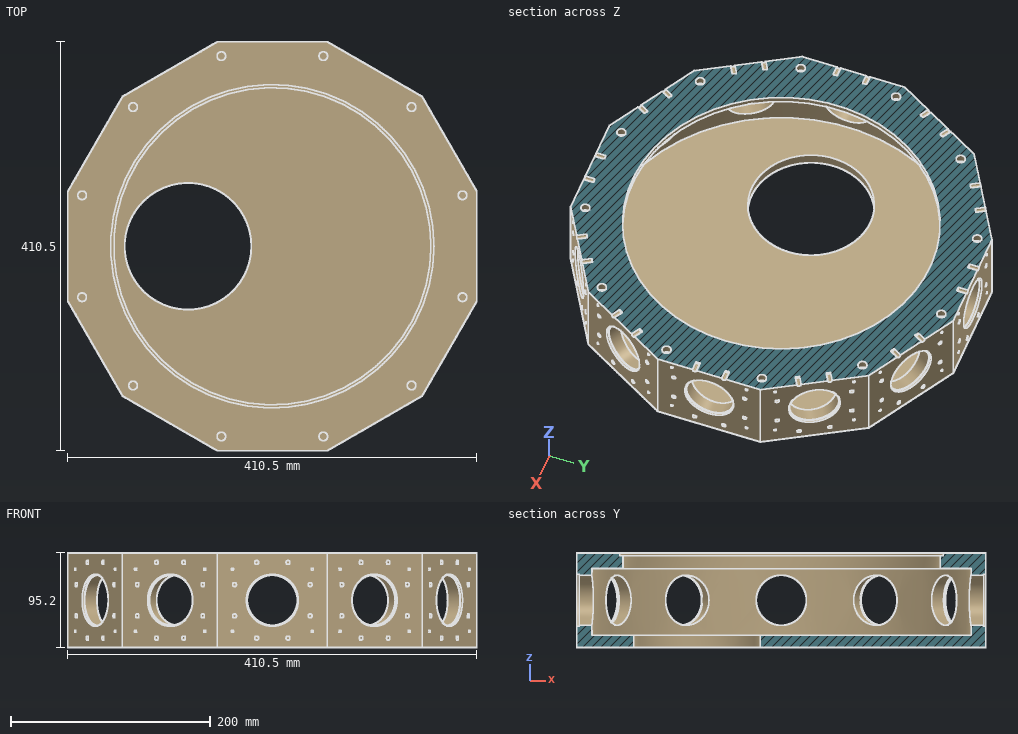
import cadquery as cq
import math

side_count = 12
side_angle = 360 / side_count
width_across_flats = 410.5
height = 95.2
circumscribed_diameter = width_across_flats / math.cos(math.radians(side_angle / 2))

floor_thickness = 12.7
lip_thickness = 16.0
cavity_diameter = 380.0
opening_diameter = 318.0
opening_recess_diameter = 324.5
opening_recess_depth = 3.0

floor_hole_diameter = 127.0
floor_hole_x = -84.5

corner_hole_diameter = 8.5
corner_hole_circle_radius = 197.5
corner_hole_depth = 19.0

port_diameter = 50.0
port_recess_diameter = 52.0
port_recess_depth = 2.5
bolt_count = 8
bolt_hole_diameter = 4.02
bolt_circle_radius = 41.0
bolt_hole_depth = 10.3
pin_hole_diameter = 2.25
pin_spacing_across = 80.0
pin_spacing_up = 62.5
pin_hole_depth = 6.0


def cylinder(diameter, bottom, top, x=0):
    return cq.Workplane("XY", origin=(x, 0, bottom)).circle(diameter / 2).extrude(top - bottom)


def make_body():
    body = (
        cq.Workplane("XY")
        .polygon(side_count, circumscribed_diameter)
        .extrude(height)
        .rotate((0, 0, 0), (0, 0, 1), side_angle / 2)
    )
    body = body.cut(cylinder(cavity_diameter, floor_thickness, height - lip_thickness))
    body = body.cut(cylinder(opening_diameter, height - lip_thickness, height))
    body = body.cut(cylinder(opening_recess_diameter, height - opening_recess_depth, height))
    return body.cut(cylinder(floor_hole_diameter, 0, floor_thickness, floor_hole_x))


def make_corner_holes():
    return (
        cq.Workplane("XY", origin=(0, 0, height))
        .polarArray(corner_hole_circle_radius, side_angle / 2, 360, side_count)
        .circle(corner_hole_diameter / 2)
        .extrude(-corner_hole_depth)
    )


def make_side_cutters(angle):
    """Everything removed from the side face whose outward normal points at this angle."""
    normal = cq.Vector(math.cos(math.radians(angle)), math.sin(math.radians(angle)), 0)
    center = normal * (width_across_flats / 2) + cq.Vector(0, 0, height / 2)
    across = cq.Vector(0, 0, 1).cross(normal)
    face = cq.Workplane(cq.Plane(origin=center, xDir=across, normal=normal))

    port_depth = (width_across_flats - opening_diameter) / 2
    port = face.circle(port_diameter / 2).extrude(-port_depth)
    recess = face.circle(port_recess_diameter / 2).extrude(-port_recess_depth)
    bolts = (
        face.polarArray(bolt_circle_radius, 180 / bolt_count, 360, bolt_count)
        .circle(bolt_hole_diameter / 2)
        .extrude(-bolt_hole_depth)
    )
    pins = (
        face.rect(pin_spacing_across, pin_spacing_up, forConstruction=True)
        .vertices()
        .circle(pin_hole_diameter / 2)
        .extrude(-pin_hole_depth)
    )
    return [port, recess, bolts, pins]


result = make_body().cut(make_corner_holes())
for side in range(side_count):
    for cutter in make_side_cutters(side * side_angle):
        result = result.cut(cutter)